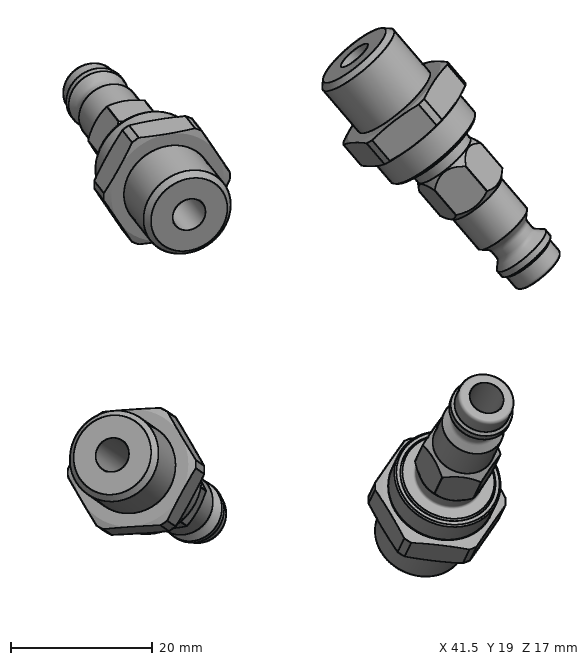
import cadquery as cq
import math

LENGTH = 41.5
BORE_DIAMETER = 4.95

NOSE_RADIUS = 8.1 / 2
NOSE_FILLET = 0.55
NOSE_END = 2.65
BODY_RADIUS = 9.0 / 2
LIP_START = 3.0
LIP_END = 4.03
GROOVE_RADIUS = 6.65 / 2
GROOVE_FILLET = 1.05
GROOVE_END = 8.25
WRENCH_START = 14.05
WRENCH_ACROSS_FLATS = 9.85
WRENCH_CORNER_RADIUS = 11.35 / 2
WRENCH_BACK_START = 20.0
NECK_START = 21.37
NECK_RADIUS = 9.7 / 2
NECK_FILLET = 0.37

FLANGE_START = 23.35
FLANGE_END = 27.75
FLANGE_RADIUS = 13.85 / 2
FLANGE_CHAMFER = 0.25

HOUSING_START = 23.65
COLLAR_RADIUS = 15.5 / 2
COLLAR_CHAMFER = 0.25
COLLAR_END = FLANGE_END
RELIEF_DEPTH = 0.1
NUT_START = 27.97
NUT_END = 32.58
NUT_ACROSS_FLATS = 17.0
NUT_CORNER_RADIUS = 19.0 / 2
NUT_FACE_RADIUS = 16.95 / 2
NUT_CHAMFER_ANGLE = 15.0
THREAD_RADIUS = 13.15 / 2
THREAD_CHAMFER = 0.85


def revolve_about_x(profile):
    """Turn a closed (x, radius) profile around the X axis."""
    return profile.close().revolve(360, (0, 0, 0), (1, 0, 0))


def cylinder(radius, start, end):
    return cq.Workplane("YZ", origin=(start, 0, 0)).circle(radius).extrude(end - start)


def hex_prism(across_flats, start, end):
    """Hexagonal prism along X with its flats facing +Z and -Z."""
    across_corners = across_flats / math.cos(math.radians(30))
    return cq.Workplane("YZ", origin=(start, 0, 0)).polygon(6, across_corners).extrude(end - start)


def make_plug_end():
    """Turned nose, retaining lip and latching groove, up to the wrench hexagon."""
    half_sweep = math.radians(22.5)
    fillet_length = GROOVE_FILLET * math.sin(2 * half_sweep)
    fillet_rise = GROOVE_FILLET * (1 - math.cos(2 * half_sweep))
    mid_length = GROOVE_FILLET * math.sin(half_sweep)
    mid_radius = GROOVE_RADIUS + GROOVE_FILLET * (1 - math.cos(half_sweep))
    cone_foot_radius = GROOVE_RADIUS + fillet_rise
    cone_length = BODY_RADIUS - cone_foot_radius
    floor_start = LIP_END + cone_length + fillet_length
    floor_end = GROOVE_END - cone_length - fillet_length

    profile = (
        cq.Workplane("XY")
        .moveTo(0, 0)
        .lineTo(0, NOSE_RADIUS - NOSE_FILLET)
        .radiusArc((NOSE_FILLET, NOSE_RADIUS), NOSE_FILLET)
        .lineTo(NOSE_END, NOSE_RADIUS)
        .lineTo(LIP_START, BODY_RADIUS)
        .lineTo(LIP_END, BODY_RADIUS)
        .lineTo(LIP_END + cone_length, cone_foot_radius)
        .threePointArc((floor_start - mid_length, mid_radius), (floor_start, GROOVE_RADIUS))
        .lineTo(floor_end, GROOVE_RADIUS)
        .threePointArc((floor_end + mid_length, mid_radius), (floor_end + fillet_length, cone_foot_radius))
        .lineTo(GROOVE_END, BODY_RADIUS)
        .lineTo(WRENCH_START, BODY_RADIUS)
        .lineTo(WRENCH_START, 0)
    )
    return revolve_about_x(profile)


def make_wrench_hexagon():
    """Hexagon with a 45 degree front cone and a shallower cone down to the neck."""
    envelope = (
        cq.Workplane("XY")
        .moveTo(WRENCH_START, 0)
        .lineTo(WRENCH_START, BODY_RADIUS)
        .lineTo(WRENCH_START + WRENCH_CORNER_RADIUS - BODY_RADIUS, WRENCH_CORNER_RADIUS)
        .lineTo(WRENCH_BACK_START, WRENCH_CORNER_RADIUS)
        .lineTo(NECK_START, NECK_RADIUS)
        .lineTo(NECK_START, 0)
    )
    hexagon = hex_prism(WRENCH_ACROSS_FLATS, WRENCH_START, NECK_START)
    return hexagon.intersect(revolve_about_x(envelope))


def make_neck_and_flange():
    profile = (
        cq.Workplane("XY")
        .moveTo(NECK_START, 0)
        .lineTo(NECK_START, NECK_RADIUS)
        .lineTo(FLANGE_START - NECK_FILLET, NECK_RADIUS)
        .radiusArc((FLANGE_START, NECK_RADIUS + NECK_FILLET), -NECK_FILLET)
        .lineTo(FLANGE_START, FLANGE_RADIUS - FLANGE_CHAMFER)
        .lineTo(FLANGE_START + FLANGE_CHAMFER, FLANGE_RADIUS)
        .lineTo(FLANGE_END, FLANGE_RADIUS)
        .lineTo(FLANGE_END, 0)
    )
    return revolve_about_x(profile)


def make_nipple():
    nipple = make_plug_end().union(make_wrench_hexagon()).union(make_neck_and_flange())
    return nipple.cut(cylinder(BORE_DIAMETER / 2, 0, LENGTH))


def make_nut():
    """Large hexagon with rounded corners and both faces chamfered."""
    chamfer_length = (NUT_CORNER_RADIUS - NUT_FACE_RADIUS) * math.tan(math.radians(NUT_CHAMFER_ANGLE))
    envelope = (
        cq.Workplane("XY")
        .moveTo(NUT_START, 0)
        .lineTo(NUT_START, NUT_FACE_RADIUS)
        .lineTo(NUT_START + chamfer_length, NUT_CORNER_RADIUS)
        .lineTo(NUT_END - chamfer_length, NUT_CORNER_RADIUS)
        .lineTo(NUT_END, NUT_FACE_RADIUS)
        .lineTo(NUT_END, 0)
    )
    return hex_prism(NUT_ACROSS_FLATS, NUT_START, NUT_END).intersect(revolve_about_x(envelope))


def make_housing():
    collar = cylinder(COLLAR_RADIUS, HOUSING_START, COLLAR_END).faces("<X").chamfer(COLLAR_CHAMFER)
    relief = cylinder(COLLAR_RADIUS - RELIEF_DEPTH, COLLAR_END, NUT_START)
    thread = cylinder(THREAD_RADIUS, NUT_END, LENGTH).faces(">X").chamfer(THREAD_CHAMFER)
    recess = cylinder(FLANGE_RADIUS, HOUSING_START, FLANGE_END)
    bore = cylinder(BORE_DIAMETER / 2, FLANGE_END, LENGTH)
    return collar.union(relief).union(make_nut()).union(thread).cut(recess).cut(bore)


nipple = make_nipple()
housing = make_housing()

result = cq.Compound.makeCompound([nipple.solids().val(), housing.solids().val()])